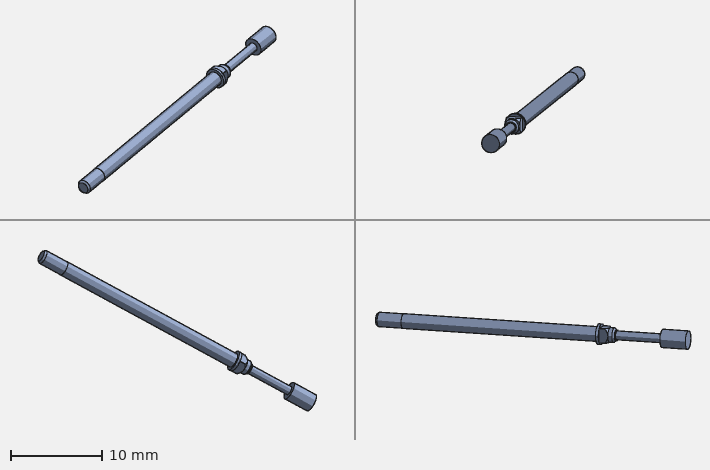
import cadquery as cq

total_length = 35.8

head_diameter = 2.05
plunger_diameter = 1.0
barrel_diameter = 1.65
tail_diameter = 1.6
flange_diameter = 2.3
collar_neck_diameter = 1.2

head_length = 2.95
plunger_length = 5.25
collar_neck_length = 0.1
collar_length = 0.45
square_length = 1.0
flange_thickness = 0.32
tail_length = 3.0
tail_chamfer_length = 0.25
tail_chamfer_depth = 0.18

head_radius = head_diameter / 2
plunger_radius = plunger_diameter / 2
barrel_radius = barrel_diameter / 2
tail_radius = tail_diameter / 2
flange_radius = flange_diameter / 2
collar_neck_radius = collar_neck_diameter / 2

collar_chamfer = barrel_radius - collar_neck_radius

head_end = total_length / 2
head_base = head_end - head_length
collar_end = head_base - plunger_length
collar_neck_base = collar_end - collar_neck_length
collar_shoulder = collar_neck_base - collar_chamfer
square_top = collar_shoulder - collar_length
flange_top = square_top - square_length
flange_bottom = flange_top - flange_thickness
tail_end = -total_length / 2
tail_top = tail_end + tail_length
tail_shoulder = tail_end + tail_chamfer_length


def turn(profile):
    """Revolve an outline of (axial position, radius) points around the Y axis."""
    return cq.Workplane("YZ").polyline(profile).close().revolve(360, (0, 0), (1, 0))


def make_turned_body():
    """The head, plunger, collar, flange, barrel and tail as one turned piece."""
    return turn([
        (head_end, 0),
        (head_end, head_radius),
        (head_base, head_radius),
        (head_base, plunger_radius),
        (collar_end, plunger_radius),
        (collar_end, collar_neck_radius),
        (collar_neck_base, collar_neck_radius),
        (collar_shoulder, barrel_radius),
        (flange_top, barrel_radius),
        (flange_top, flange_radius),
        (flange_bottom, flange_radius),
        (flange_bottom, barrel_radius),
        (tail_top, barrel_radius),
        (tail_top, tail_radius),
        (tail_shoulder, tail_radius),
        (tail_end, tail_radius - tail_chamfer_depth),
        (tail_end, 0),
    ])


def make_square():
    """Square drive above the flange, its corners turned to a 45 degree cone."""
    square = cq.Workplane("XY").box(barrel_diameter, square_length, barrel_diameter)
    square = square.translate((0, (square_top + flange_top) / 2, 0))
    corner_limit = turn([
        (square_top, 0),
        (square_top, barrel_radius),
        (square_top - (flange_radius - barrel_radius), flange_radius),
        (flange_top, flange_radius),
        (flange_top, 0),
    ])
    return square.intersect(corner_limit)


result = make_turned_body().union(make_square())